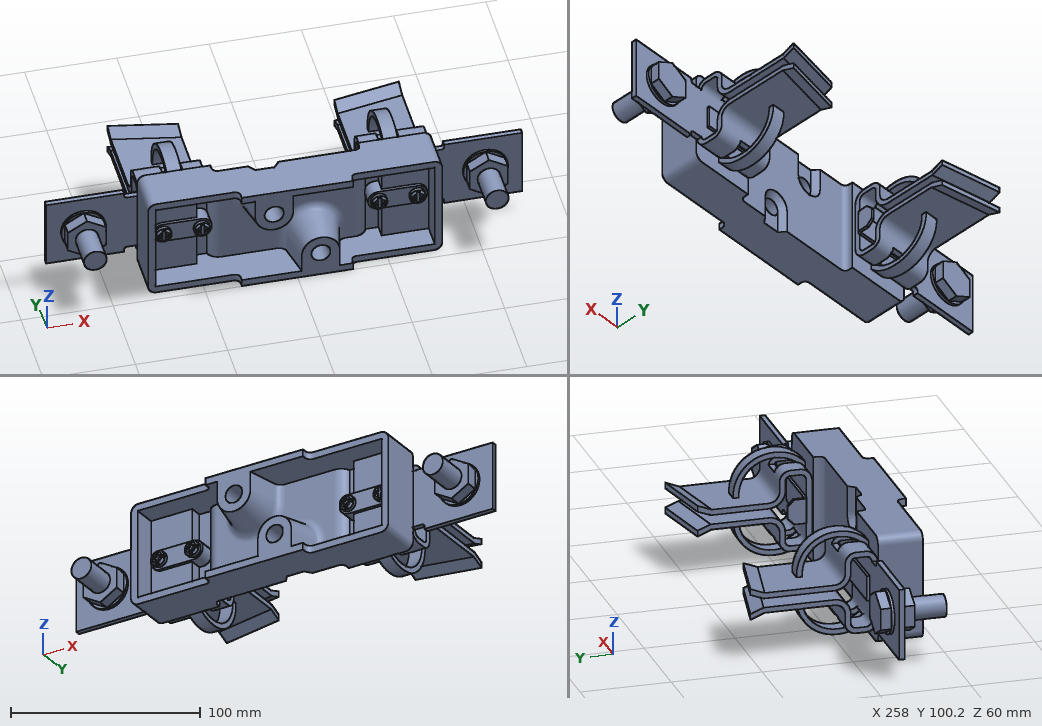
import cadquery as cq
import math


BASE_LENGTH = 159.5
BASE_HEIGHT = 60.0
BASE_CORNER_R = 4.6
WALL = 4.0
STEP_R = 3.0
SEAT_HALF_GAP = 40.0
RECESS_Y = -5.5
RIM_Y = -24.8
FOOT_Y = -30.2
FOOT_HALF_LENGTH = 30.2
SEAT_FLOOR_Y = -4.0
FLOOR_Y = -8.8
FLOOR_HALF_LENGTH = 43.3
FLOOR_EDGE_R = 7.0
PAD_INNER_X = 50.0
PAD_Y = -11.4

BOSS_X = 12.6
BOSS_Z = 15.5
BOSS_TOP_R = 10.3
BOSS_DRAFT = math.radians(12)
BOSS_FILLET_R = 4.5
HOLE_R = 5.2
SEAT_R = 8.3
SEAT_DEPTH = 3.9

OVERALL_LENGTH = 258.0
SHEET = 3.0
TAB_WIDTH = 39.7
NECK_WIDTH = 33.5
NECK_X = 86.7
NECK_FILLET_R = 1.5
BOLT_X = 109.0
HEX_FLATS = 20.6
WASHER_R = 12.0
WASHER_T = 1.5
BOLT_HEAD_H = 5.7
NUT_H = 7.0
STUD_R = 6.2
STUD_TIP_Y = -27.3

CLIP_INNER_X = 42.3
CLIP_OUTER_X = 79.0
CLIP_HALF_HEIGHT = 23.0
CLIP_CORNER_R = 6.7
SHOULDER_R = 6.0
SHOULDER_Y = 17.8
JAW_HALF_GAP = 2.5
JAW_SPLIT_Y = 51.5
LIP_BEND_Y = 62.7
LIP_TIP_Y = 70.0
LIP_RISE = 2.8
LIP_SKEW = 7.0

SPRING_X = 58.5
SPRING_WIDTH = 8.0
SPRING_R = 22.2
SPRING_FLAT = 1.0
SPRING_CENTRE_Y = 17.0
SPRING_CENTRE_Z = 7.0
SLOT_WIDTH = 11.0
SLOT_Z = 18.5

STOP_X = 40.0
STOP_T = 1.5
STOP_HALF_WIDTH = 7.0
STOP_TIP_Y = 14.0
STOP_CHAMFER = 3.4
STOP_BEND_R = 2.0
SCREW_XS = (48.0, 69.0)
BAR_R = 5.7
BAR_RAISE = 1.8
SCREW_HEAD_R = 4.5
SCREW_HEAD_H = 3.4
SCREW_HEAD_CHAMFER = 1.3
CROSS_LENGTH = 7.2
CROSS_WIDTH = 1.8
CROSS_DEPTH = 1.3

CLIP_WIDTH = CLIP_OUTER_X - CLIP_INNER_X
JAW_OUTER_Z = JAW_HALF_GAP + SHEET


def block(x0, x1, y0, y1, z0, z1):
    """Box between opposite corners."""
    return cq.Workplane("XY").box(x1 - x0, y1 - y0, z1 - z0, centered=False).translate((x0, y0, z0))


def disc(x, z, radius, y0, y1):
    """Cylinder along Y between two heights."""
    return cq.Workplane("XZ", origin=(x, y0, z)).circle(radius).extrude(y0 - y1)


def hexagon(x, y0, y1):
    """Hexagonal prism along Y with corners pointing up and down."""
    corner_r = HEX_FLATS / math.sqrt(3)
    corners = [
        (corner_r * math.sin(k * math.pi / 3), corner_r * math.cos(k * math.pi / 3)) for k in range(6)
    ]
    return cq.Workplane("XZ", origin=(x, y0, 0)).polyline(corners).close().extrude(y0 - y1)


def both_sides(shape):
    """The shape together with its mirror image across x = 0."""
    return shape.union(shape.mirror("YZ"))


def base_shell():
    """Hollow box with raised clip seats and a deeper foot in the middle."""
    half_length = BASE_LENGTH / 2
    half_height = BASE_HEIGHT / 2
    shell = block(-half_length, half_length, FOOT_Y, 0, -half_height, half_height)
    shell = shell.edges("|Y").fillet(BASE_CORNER_R)

    recess = block(-SEAT_HALF_GAP, SEAT_HALF_GAP, RECESS_Y, 2.5, -half_height, half_height)
    shell = shell.cut(recess.edges("|Z and <Y").fillet(STEP_R))

    end_cut = block(-half_length - 2.5, -FOOT_HALF_LENGTH, FOOT_Y - 2.5, RIM_Y, -half_height, half_height)
    end_cut = end_cut.edges("|Z and >X and >Y").fillet(STEP_R)
    shell = shell.cut(both_sides(end_cut))

    inner_x = half_length - WALL
    inner_z = half_height - WALL
    cavity = block(-inner_x, inner_x, FOOT_Y - 2.5, SEAT_FLOOR_Y, -inner_z, inner_z)
    floor = block(-FLOOR_HALF_LENGTH, FLOOR_HALF_LENGTH, FLOOR_Y, 0, -inner_z, inner_z)
    floor = floor.edges("|Z and <Y").fillet(FLOOR_EDGE_R)
    shell = shell.cut(cavity.cut(floor))

    pad = block(-inner_x, -PAD_INNER_X, PAD_Y, SEAT_FLOOR_Y, -inner_z, inner_z)
    return shell.union(both_sides(pad))


def u_shape(draw_half_section, side):
    """Round column along Y at a mounting hole, whose flanks run on to the long wall on the given side.

    The upper hole lies left of the middle and the lower one right of it, half a turn about Y apart.
    """
    round_end = draw_half_section().revolve(360, (0, 0, 0), (0, 1, 0))
    flanks = both_sides(draw_half_section().extrude(BASE_HEIGHT / 2 - BOSS_Z))
    column = round_end.union(flanks).translate((-BOSS_X, 0, BOSS_Z))
    if side < 0:
        column = column.rotate((0, 0, 0), (0, 1, 0), 180)
    return column


def boss_half_section():
    """Drafted boss with a fillet where it meets the floor."""
    slope = math.tan(BOSS_DRAFT)
    foot_r = BOSS_TOP_R + (FLOOR_Y - FOOT_Y) * slope
    turn = math.pi / 2 - BOSS_DRAFT
    tangent = BOSS_FILLET_R * math.tan(turn / 2)
    centre_r = foot_r + tangent
    centre_y = FLOOR_Y - BOSS_FILLET_R
    arc_mid = (
        centre_r - BOSS_FILLET_R * math.sin(turn / 2),
        centre_y + BOSS_FILLET_R * math.cos(turn / 2),
    )
    arc_end = (foot_r - tangent * math.sin(BOSS_DRAFT), FLOOR_Y - tangent * math.cos(BOSS_DRAFT))
    overlap_y = FLOOR_Y + WALL / 2
    return (
        cq.Workplane("XY")
        .moveTo(0, overlap_y)
        .lineTo(centre_r, overlap_y)
        .lineTo(centre_r, FLOOR_Y)
        .threePointArc(arc_mid, arc_end)
        .lineTo(BOSS_TOP_R, FOOT_Y)
        .lineTo(0, FOOT_Y)
        .close()
    )


def groove_half_section():
    """Tapered groove for a countersunk head, open towards +Y."""
    bottom_y = RECESS_Y - SEAT_DEPTH
    corners = [(0, RECESS_Y), (SEAT_R, RECESS_Y), (HOLE_R, bottom_y), (0, bottom_y)]
    return cq.Workplane("XY").polyline(corners).close()


def base():
    """Shell with its two diagonal mounting bosses."""
    body = base_shell()
    half_length = BASE_LENGTH / 2
    trim_z = BASE_HEIGHT / 2 - WALL / 2
    trim = block(-half_length, half_length, FOOT_Y, 0, -trim_z, trim_z)
    for side in (1, -1):
        body = body.union(u_shape(boss_half_section, side).intersect(trim))
    for side in (1, -1):
        body = body.cut(u_shape(groove_half_section, side))
        body = body.cut(disc(-side * BOSS_X, side * BOSS_Z, HOLE_R, FOOT_Y - 2.5, 2.5))
    return body


def terminal():
    """Left terminal tab with its bolt, nut and washers."""
    end_x = -OVERALL_LENGTH / 2
    half_neck = NECK_WIDTH / 2
    neck = block(-NECK_X - 2.5, -CLIP_OUTER_X + 2.5, 0, SHEET, -half_neck, half_neck)
    tab = block(end_x, -NECK_X, 0, SHEET, -TAB_WIDTH / 2, TAB_WIDTH / 2).union(neck)
    near_root = cq.selectors.BoxSelector(
        (-NECK_X - 0.3, 0, -half_neck - 0.3), (-NECK_X + 0.3, SHEET, half_neck + 0.3)
    )
    tab = tab.edges("|Y").edges(near_root).fillet(NECK_FILLET_R)

    washer_top = SHEET + WASHER_T
    tab = tab.union(disc(-BOLT_X, 0, WASHER_R, -WASHER_T, washer_top))
    tab = tab.union(hexagon(-BOLT_X, washer_top, washer_top + BOLT_HEAD_H))
    tab = tab.union(hexagon(-BOLT_X, -WASHER_T - NUT_H, -WASHER_T))
    return tab.union(disc(-BOLT_X, 0, STUD_R, STUD_TIP_Y, 0))


def clip_half():
    """Upper half of the left clip: back plate, shoulder, jaw and flared lip."""
    left = -CLIP_OUTER_X
    top = CLIP_HALF_HEIGHT
    cos45 = math.sqrt(0.5)

    def filled_profile(inset):
        """Solid between the mid plane and the outer line of the sheet moved inwards by the inset."""
        corner_r = CLIP_CORNER_R - inset
        shoulder_r = SHOULDER_R - inset
        root_r = SHOULDER_R + inset
        corner_y = CLIP_CORNER_R
        corner_z = top - CLIP_CORNER_R
        shoulder_y = SHOULDER_Y - SHOULDER_R
        shoulder_z = top - SHOULDER_R
        root_y = SHOULDER_Y + SHOULDER_R
        root_z = JAW_OUTER_Z + SHOULDER_R
        return (
            cq.Workplane("YZ", origin=(left, 0, 0))
            .moveTo(inset, 0)
            .lineTo(inset, corner_z)
            .threePointArc(
                (corner_y - corner_r * cos45, corner_z + corner_r * cos45), (corner_y, top - inset)
            )
            .lineTo(shoulder_y, top - inset)
            .threePointArc(
                (shoulder_y + shoulder_r * cos45, shoulder_z + shoulder_r * cos45),
                (SHOULDER_Y - inset, shoulder_z),
            )
            .lineTo(SHOULDER_Y - inset, root_z)
            .threePointArc((root_y - root_r * cos45, root_z - root_r * cos45), (root_y, JAW_OUTER_Z - inset))
            .lineTo(JAW_SPLIT_Y, JAW_OUTER_Z - inset)
            .lineTo(JAW_SPLIT_Y, 0)
            .close()
            .extrude(CLIP_WIDTH)
        )

    sheet = filled_profile(0).cut(filled_profile(SHEET))

    slot_x = -SPRING_X - SLOT_WIDTH / 2
    sheet = sheet.cut(block(slot_x, slot_x + SLOT_WIDTH, -2.5, SHOULDER_Y + 2.5, SLOT_Z, top + 2.5))

    tip_z = JAW_HALF_GAP + LIP_RISE
    lip_angle = math.atan2(LIP_RISE, LIP_TIP_Y - LIP_BEND_Y)
    outer_bend_y = LIP_BEND_Y - SHEET * math.tan(lip_angle / 2)
    lip_wire = cq.Wire.makePolygon(
        [
            cq.Vector(left, y, z)
            for y, z in (
                (JAW_SPLIT_Y - 2.5, JAW_HALF_GAP),
                (LIP_BEND_Y, JAW_HALF_GAP),
                (LIP_TIP_Y, tip_z),
                (LIP_TIP_Y, tip_z + SHEET / math.cos(lip_angle)),
                (outer_bend_y, JAW_OUTER_Z),
                (JAW_SPLIT_Y - 2.5, JAW_OUTER_Z),
            )
        ],
        close=True,
    )
    lip = cq.Solid.extrudeLinear(lip_wire, [], cq.Vector(CLIP_WIDTH, -LIP_SKEW, 0))
    return sheet.union(cq.Workplane(lip))


def spring_half():
    """Upper half of the spring: two arcs joined by a flat, from back plate to jaw."""
    inner_r = SPRING_R - SHEET
    ring = (
        cq.Workplane("YZ", origin=(-SPRING_X - SPRING_WIDTH / 2, SPRING_CENTRE_Y, SPRING_CENTRE_Z))
        .slot2D(SPRING_FLAT + 2 * SPRING_R, 2 * SPRING_R)
        .slot2D(SPRING_FLAT + 2 * inner_r, 2 * inner_r)
        .extrude(SPRING_WIDTH)
    )
    reach = SPRING_CENTRE_Y + SPRING_FLAT / 2 + SPRING_R
    root_z = JAW_OUTER_Z - SHEET / 2
    return ring.intersect(block(-CLIP_OUTER_X, 0, 0, reach, root_z, SPRING_CENTRE_Z + SPRING_R))


def clip():
    """Left clip with its springs."""
    half = clip_half().union(spring_half())
    return half.union(half.mirror("XY"))


def fuse_stop():
    """Strip on the left clip's back plate, bent up at its inner end to stop the fuse."""
    far_x = -SCREW_XS[1] - BAR_R
    outside = block(far_x, -STOP_X, SHEET, STOP_TIP_Y, -STOP_HALF_WIDTH, STOP_HALF_WIDTH)
    outside = outside.edges("|Z and >X and <Y").fillet(STOP_BEND_R)
    hollow = block(
        far_x, -STOP_X - STOP_T, SHEET + STOP_T, STOP_TIP_Y, -STOP_HALF_WIDTH, STOP_HALF_WIDTH
    )
    strip = outside.cut(hollow)
    return strip.edges("|X and >Y").chamfer(STOP_CHAMFER)


def clip_screws():
    """Round-ended bar under the left clip with two cross-recessed screw heads."""
    bar_y = PAD_Y - BAR_RAISE
    head_y = bar_y - SCREW_HEAD_H
    body = block(-SCREW_XS[1], -SCREW_XS[0], bar_y, SEAT_FLOOR_Y, -BAR_R, BAR_R)
    for screw_x in SCREW_XS:
        head = disc(-screw_x, 0, SCREW_HEAD_R, head_y, bar_y).faces("<Y").chamfer(SCREW_HEAD_CHAMFER)
        for length, height in ((CROSS_LENGTH, CROSS_WIDTH), (CROSS_WIDTH, CROSS_LENGTH)):
            head = head.cut(
                block(
                    -screw_x - length / 2, -screw_x + length / 2,
                    head_y, head_y + CROSS_DEPTH,
                    -height / 2, height / 2,
                )
            )
        body = body.union(disc(-screw_x, 0, BAR_R, bar_y, SEAT_FLOOR_Y)).union(head)
    return body


left_side = terminal().union(clip()).union(fuse_stop()).union(clip_screws())
result = base().union(both_sides(left_side))